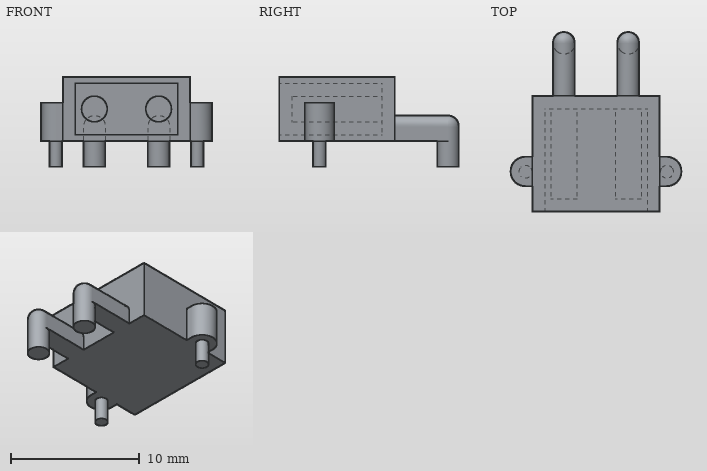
import cadquery as cq

HOUSING_WIDTH = 9.9
HOUSING_DEPTH = 9.0
HOUSING_HEIGHT = 5.0

CAVITY_WIDTH = 8.0
CAVITY_HEIGHT = 4.0
CAVITY_DEPTH = 8.0

CONTACT_PITCH = 5.0
CONTACT_DIAMETER = 2.0
CONTACT_RECESS = 1.0

TAIL_DIAMETER = 1.7
TAIL_TOP = 2.0
LEG_FROM_PEG = 10.0

OVERALL_WIDTH = 13.3
EAR_DIAMETER = 2.3
EAR_HEIGHT = 3.0
EAR_FROM_FRONT = 3.13
PEG_DIAMETER = 1.0

LEG_LENGTH = 2.0

FRONT_Y = -HOUSING_DEPTH / 2
BACK_Y = HOUSING_DEPTH / 2
CAVITY_FLOOR_Y = FRONT_Y + CAVITY_DEPTH
TAIL_RADIUS = TAIL_DIAMETER / 2
TAIL_AXIS_Z = TAIL_TOP - TAIL_RADIUS
EAR_X = OVERALL_WIDTH / 2 - EAR_DIAMETER / 2
EAR_Y = FRONT_Y + EAR_FROM_FRONT
TAIL_LEG_Y = EAR_Y + LEG_FROM_PEG
SIDES = (-1, 1)


def cylinder_along_y(x, z, diameter, start_y, end_y):
    """Round bar parallel to Y."""
    axis = cq.Vector(0, 1, 0)
    return cq.Workplane(
        cq.Solid.makeCylinder(diameter / 2, end_y - start_y, cq.Vector(x, start_y, z), axis)
    )


def cylinder_along_z(x, y, diameter, start_z, end_z):
    """Upright round bar."""
    return cq.Workplane(
        cq.Solid.makeCylinder(diameter / 2, end_z - start_z, cq.Vector(x, y, start_z))
    )


def make_housing():
    """Box hollowed from the front, leaving a closed back wall."""
    housing = cq.Workplane().box(
        HOUSING_WIDTH, HOUSING_DEPTH, HOUSING_HEIGHT, centered=(True, True, False)
    )
    cavity = (
        cq.Workplane()
        .box(CAVITY_WIDTH, CAVITY_DEPTH, CAVITY_HEIGHT)
        .translate((0, FRONT_Y + CAVITY_DEPTH / 2, HOUSING_HEIGHT / 2))
    )
    return housing.cut(cavity)


def make_contact(x):
    """Flat-ended contact standing on the cavity floor and rooted in the back wall."""
    return cylinder_along_y(
        x, HOUSING_HEIGHT / 2, CONTACT_DIAMETER, FRONT_Y + CONTACT_RECESS, BACK_Y
    )


def make_tail(x):
    """Round-topped bar running back from the housing, with a ball corner and a round leg."""
    bar = cylinder_along_y(x, TAIL_AXIS_Z, TAIL_DIAMETER, CAVITY_FLOOR_Y, TAIL_LEG_Y)
    web_length = TAIL_LEG_Y - CAVITY_FLOOR_Y
    web = (
        cq.Workplane()
        .box(TAIL_DIAMETER, web_length, TAIL_AXIS_Z, centered=(True, False, False))
        .translate((x, CAVITY_FLOOR_Y, 0))
    )
    corner = cq.Workplane().sphere(TAIL_RADIUS).translate((x, TAIL_LEG_Y, TAIL_AXIS_Z))
    leg = cylinder_along_z(x, TAIL_LEG_Y, TAIL_DIAMETER, -LEG_LENGTH, TAIL_AXIS_Z)
    return bar.union(web).union(corner).union(leg)


def make_ear(side):
    """Round-ended ear on one side wall, with a peg under its round end."""
    inner_x = HOUSING_WIDTH / 2
    neck_length = EAR_X - inner_x
    neck = (
        cq.Workplane()
        .box(neck_length, EAR_DIAMETER, EAR_HEIGHT, centered=(True, True, False))
        .translate((side * (inner_x + neck_length / 2), EAR_Y, 0))
    )
    round_end = cylinder_along_z(side * EAR_X, EAR_Y, EAR_DIAMETER, 0, EAR_HEIGHT)
    peg = cylinder_along_z(side * EAR_X, EAR_Y, PEG_DIAMETER, -LEG_LENGTH, 0)
    return neck.union(round_end).union(peg)


result = make_housing()
for side in SIDES:
    pin_x = side * CONTACT_PITCH / 2
    result = result.union(make_contact(pin_x)).union(make_tail(pin_x)).union(make_ear(side))